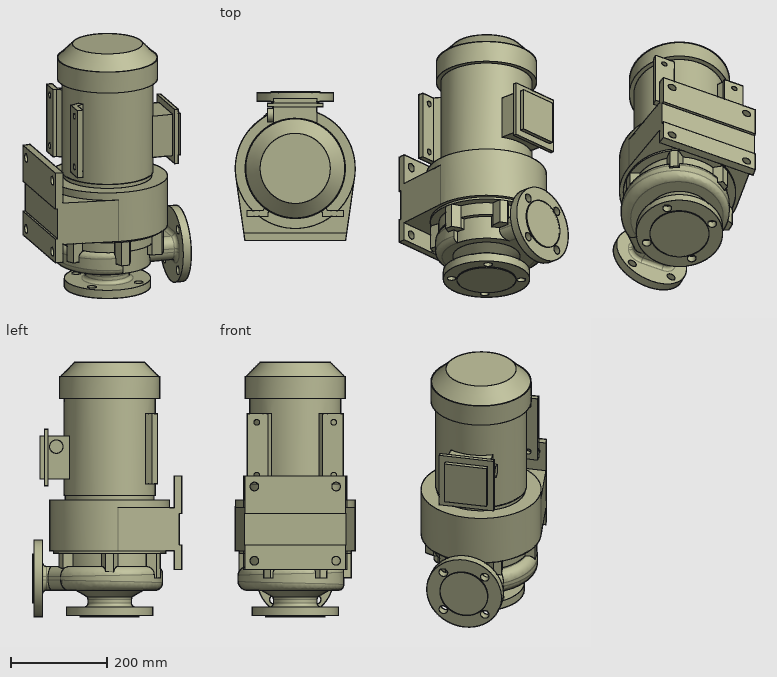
import cadquery as cq
import math


flange_thickness = 18
seat_height = 2.5
flange_hole_diameter = 18
suction_flange_radius = 90
suction_seat_radius = 61.5
suction_bolt_circle = 145
outlet_flange_radius = 80
outlet_seat_radius = 51
outlet_bolt_circle = 125
outlet_face_y = 160
neck_fillet = 8

neck_radius = 45.5
neck_cone_start = 41.5
neck_blend_start = 36
cone_start_radius = 47
cone_top_radius = 70

volute_centre_z = 80
volute_half_height = 25
volute_bottom = volute_centre_z - volute_half_height
volute_top = volute_centre_z + volute_half_height
volute_inner_radius = 55
spiral_start_radius = 101
spiral_growth = 18
corner_start_radius = 11.5
corner_growth = 7.5
spiral_sweep = 235
spiral_sections = 10

outlet_half_width = 45
outlet_straight_y = 128
selection_margin = 1

lantern_radius = 99
lantern_flange_radius = 117
lantern_flange_bottom = 132
rib_count = 6
rib_bottom = 81
rib_tip_width = 17
rib_root_width = 34
rib_root_radius = 98

ring_radius = 125
ring_bottom = 137
ring_top = 243
arm_top = 227
plate_face_y = -150
plate_thickness = 16
plate_face_half_width = 105
plate_bottom = 98
plate_top = 293
plate_groove_depth = 5
plate_groove_bottom = 149.5
plate_groove_top = 214.5
plate_hole_diameter = 18
plate_hole_x = 85
plate_hole_levels = (116.5, 271)

motor_radius = 95
motor_spigot_radius = 92.5
motor_bottom = 252
cowl_radius = 104.5
cowl_bottom = 454
cowl_shoulder = 499.5
cowl_cone_radius = 103
cowl_top_radius = 73
total_height = 529.6

foot_height = 146
foot_centre_z = 349.5
foot_half_span = 100
foot_inner_x = 57
foot_face_y = -100
foot_thickness = 12
web_outer_x = 67.5
web_corner_y = -93
web_run = 12
web_rise = 20
foot_hole_diameter = 12
foot_hole_x = 80
foot_hole_spacing = 110

box_width = 90
box_height = 90
box_centre_z = 331.5
box_face_y = 145
cover_width = 116
cover_height = 118
cover_thickness = 8
cover_face_y = 136
gland_diameter = 28
gland_y = 111
gland_z = 354


def cylinder(radius, bottom, top):
    """Upright cylinder on the Z axis."""
    return cq.Workplane("XY").workplane(offset=bottom).circle(radius).extrude(top - bottom)


def block(x_range, y_range, z_range):
    """Axis-aligned box given by its limits."""
    lengths = [high - low for low, high in (x_range, y_range, z_range)]
    corner = (x_range[0], y_range[0], z_range[0])
    return cq.Workplane("XY").box(*lengths, centered=False).translate(corner)


def flange(radius, seat_radius, bolt_circle):
    """Drilled flange with a raised seat, lying on Z = 0 with the seat down."""
    disc = cylinder(radius, seat_height, seat_height + flange_thickness)
    hole_offset = bolt_circle / math.sqrt(2)
    disc = (
        disc.faces(">Z").workplane()
        .rect(hole_offset, hole_offset, forConstruction=True)
        .vertices().hole(flange_hole_diameter)
    )
    return disc.union(cylinder(seat_radius, 0, seat_height))


def suction_side():
    """Bottom flange with its filleted neck and the cone up to the volute."""
    base = seat_height + flange_thickness
    diagonal = neck_fillet * (1 - math.sqrt(0.5))
    neck = (
        cq.Workplane("XZ")
        .moveTo(0, base)
        .lineTo(neck_radius + neck_fillet, base)
        .threePointArc((neck_radius + diagonal, base + diagonal), (neck_radius, base + neck_fillet))
        .lineTo(neck_radius, neck_blend_start)
        .lineTo(cone_start_radius, neck_cone_start)
        .lineTo(cone_top_radius, volute_bottom)
        .lineTo(0, volute_bottom)
        .close()
        .revolve(360, (0, 0, 0), (0, 1, 0))
    )
    return neck.union(flange(suction_flange_radius, suction_seat_radius, suction_bolt_circle))


def spiral_radius(turn):
    """Outer radius of the volute after a clockwise turn in degrees."""
    return spiral_start_radius + spiral_growth * turn / 180


def spiral_corner(turn):
    """Corner rounding of the volute after a clockwise turn in degrees."""
    return corner_start_radius + corner_growth * turn / 180


def spiral_section(turn):
    """Radial section of the volute after a clockwise turn: a bar with rounded outer corners."""
    outer = spiral_radius(turn)
    corner = spiral_corner(turn)
    arc_centre = outer - corner
    arc_mid = arc_centre + corner * math.sqrt(0.5)
    arc_drop = corner * (1 - math.sqrt(0.5))
    wire = (
        cq.Workplane("XZ")
        .moveTo(volute_inner_radius, volute_bottom)
        .lineTo(arc_centre, volute_bottom)
        .threePointArc((arc_mid, volute_bottom + arc_drop), (outer, volute_bottom + corner))
        .lineTo(outer, volute_top - corner)
        .threePointArc((arc_mid, volute_top - arc_drop), (arc_centre, volute_top))
        .lineTo(volute_inner_radius, volute_top)
        .close()
        .val()
    )
    return wire.rotate(cq.Vector(0, 0, 0), cq.Vector(0, 0, 1), -turn)


def volute():
    """Spiral casing growing clockwise, with the core that fills its middle."""
    step = spiral_sweep / (spiral_sections - 1)
    sections = [spiral_section(index * step) for index in range(spiral_sections)]
    spiral = cq.Workplane(cq.Solid.makeLoft(sections))
    core = cylinder(spiral_start_radius - corner_start_radius, volute_bottom, volute_top)
    return spiral.union(core)


def outlet():
    """Flat rounded neck from the end of the spiral to the +Y flange, flared where it meets the flange."""
    end_angle = math.radians(-spiral_sweep)
    end_radius = spiral_radius(spiral_sweep)
    end_outer = (end_radius * math.cos(end_angle), end_radius * math.sin(end_angle))
    end_inner = (volute_inner_radius * math.cos(end_angle), volute_inner_radius * math.sin(end_angle))
    flange_back_y = outlet_face_y - seat_height - flange_thickness
    neck = (
        cq.Workplane("XY").workplane(offset=volute_bottom)
        .moveTo(*end_inner)
        .lineTo(*end_outer)
        .lineTo(-outlet_half_width, outlet_straight_y)
        .lineTo(-outlet_half_width, flange_back_y)
        .lineTo(outlet_half_width, flange_back_y)
        .lineTo(outlet_half_width, end_inner[1])
        .close()
        .extrude(volute_top - volute_bottom)
    )
    below = volute_bottom - selection_margin
    above = volute_top + selection_margin
    side_edges = cq.selectors.SumSelector(
        cq.selectors.BoxSelector(
            (end_outer[0], end_outer[1], below),
            (selection_margin - outlet_half_width, flange_back_y - selection_margin, above),
        ),
        cq.selectors.BoxSelector(
            (outlet_half_width - selection_margin, end_inner[1], below),
            (outlet_half_width + selection_margin, flange_back_y, above),
        ),
    )
    neck = neck.edges("#Z").edges(side_edges).fillet(spiral_corner(spiral_sweep))
    end_flange = (
        flange(outlet_flange_radius, outlet_seat_radius, outlet_bolt_circle)
        .rotate((0, 0, 0), (1, 0, 0), 90)
        .translate((0, outlet_face_y, volute_centre_z))
    )
    joint_edges = cq.selectors.BoxSelector(
        (-outlet_half_width - selection_margin, flange_back_y - selection_margin, below),
        (outlet_half_width + selection_margin, flange_back_y + selection_margin, above),
        boundingbox=True,
    )
    return neck.union(end_flange).edges(joint_edges).fillet(neck_fillet)


def lantern():
    """Cylinder with a top flange and tapered radial ribs running down onto the volute."""
    body = cylinder(lantern_radius, volute_top, lantern_flange_bottom)
    body = body.union(cylinder(lantern_flange_radius, lantern_flange_bottom, ring_bottom))
    rib = (
        cq.Workplane("XY").workplane(offset=rib_bottom)
        .moveTo(0, -rib_root_width / 2)
        .lineTo(rib_root_radius, -rib_root_width / 2)
        .lineTo(lantern_flange_radius, -rib_tip_width / 2)
        .lineTo(lantern_flange_radius, rib_tip_width / 2)
        .lineTo(rib_root_radius, rib_root_width / 2)
        .lineTo(0, rib_root_width / 2)
        .close()
        .extrude(lantern_flange_bottom - rib_bottom)
    )
    for index in range(rib_count):
        body = body.union(rib.rotate((0, 0, 0), (0, 0, 1), index * 360 / rib_count))
    return body


def bracket():
    """Ring with a tapered arm, tangent to the ring, that carries the drilled wall plate."""
    corner_distance = math.hypot(plate_face_half_width, plate_face_y)
    taper = math.atan2(-plate_face_y, plate_face_half_width) - math.acos(ring_radius / corner_distance)
    tangent_x = ring_radius * math.cos(taper)
    tangent_y = -ring_radius * math.sin(taper)
    outline = [
        (tangent_x, tangent_y),
        (plate_face_half_width, plate_face_y),
        (-plate_face_half_width, plate_face_y),
        (-tangent_x, tangent_y),
    ]

    def tapered(bottom, top):
        return cq.Workplane("XY").workplane(offset=bottom).polyline(outline).close().extrude(top - bottom)

    across = (-ring_radius, ring_radius)
    plate_back_y = plate_face_y + plate_thickness
    plate = tapered(plate_bottom, plate_top).intersect(
        block(across, (plate_face_y, plate_back_y), (plate_bottom, plate_top))
    )
    body = cylinder(ring_radius, ring_bottom, ring_top).union(tapered(ring_bottom, arm_top)).union(plate)
    groove = block(
        across,
        (plate_face_y, plate_face_y + plate_groove_depth),
        (plate_groove_bottom, plate_groove_top),
    )
    holes = (
        cq.Workplane("XZ", origin=(0, plate_back_y, 0))
        .pushPoints([(side * plate_hole_x, level) for side in (-1, 1) for level in plate_hole_levels])
        .circle(plate_hole_diameter / 2)
        .extrude(plate_thickness)
    )
    return body.cut(groove).cut(holes)


def motor():
    """Motor body with its spigot and the fan cowl with a conical top."""
    body = cylinder(motor_spigot_radius, ring_top, motor_bottom)
    body = body.union(cylinder(motor_radius, motor_bottom, cowl_bottom))
    cowl = (
        cq.Workplane("XZ")
        .moveTo(0, cowl_bottom)
        .lineTo(cowl_radius, cowl_bottom)
        .lineTo(cowl_radius, cowl_shoulder)
        .lineTo(cowl_cone_radius, cowl_shoulder)
        .lineTo(cowl_top_radius, total_height)
        .lineTo(0, total_height)
        .close()
        .revolve(360, (0, 0, 0), (0, 1, 0))
    )
    return body.union(cowl)


def feet():
    """Pair of flat drilled feet, each held to the motor by a slanted web."""
    foot_back_y = foot_face_y + foot_thickness
    foot = (
        cq.Workplane("XY").workplane(offset=foot_centre_z - foot_height / 2)
        .moveTo(-foot_half_span, foot_face_y)
        .lineTo(-foot_inner_x, foot_face_y)
        .lineTo(-foot_inner_x, web_corner_y)
        .lineTo(-foot_inner_x + web_run, web_corner_y + web_rise)
        .lineTo(-web_outer_x + web_run, foot_back_y + web_rise)
        .lineTo(-web_outer_x, foot_back_y)
        .lineTo(-foot_half_span, foot_back_y)
        .close()
        .extrude(foot_height)
    )
    holes = (
        cq.Workplane("XZ", origin=(-foot_hole_x, foot_back_y, foot_centre_z))
        .pushPoints([(0, -foot_hole_spacing / 2), (0, foot_hole_spacing / 2)])
        .circle(foot_hole_diameter / 2)
        .extrude(foot_thickness)
    )
    foot = foot.cut(holes)
    return foot.union(foot.mirror("YZ"))


def terminal_box():
    """Box on the +Y side with an overhanging cover plate and a cable gland on the -X side."""
    half_box = box_width / 2
    half_cover = cover_width / 2
    box = block(
        (-half_box, half_box),
        (0, box_face_y),
        (box_centre_z - box_height / 2, box_centre_z + box_height / 2),
    )
    cover = block(
        (-half_cover, half_cover),
        (cover_face_y - cover_thickness, cover_face_y),
        (box_centre_z - cover_height / 2, box_centre_z + cover_height / 2),
    )
    gland = (
        cq.Workplane("YZ", origin=(-half_cover, gland_y, gland_z))
        .circle(gland_diameter / 2)
        .extrude(half_cover)
    )
    return box.union(cover).union(gland)


result = (
    suction_side()
    .union(volute())
    .union(outlet())
    .union(lantern())
    .union(bracket())
    .union(motor())
    .union(feet())
    .union(terminal_box())
)